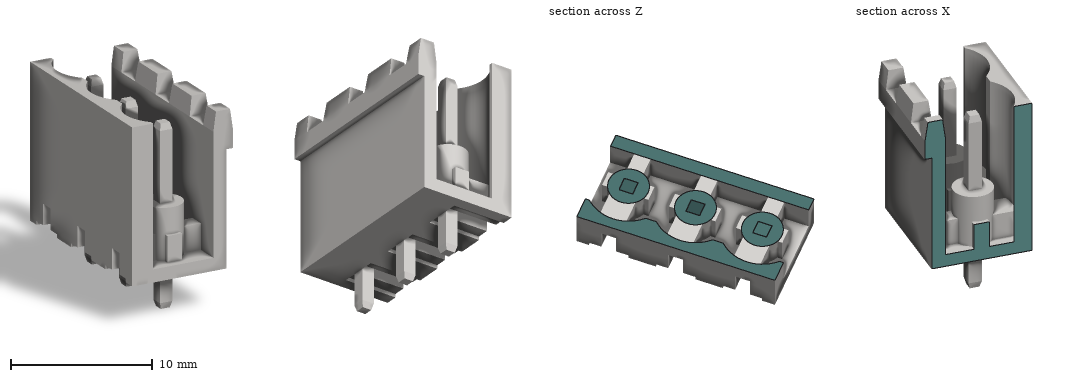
import cadquery as cq

pole_count = 3
pole_pitch = 5.08
pole_y = 3.8

housing_length = 15.08
housing_height = 12.0
floor_thickness = 1.0
front_wall_thickness = 1.69
back_wall_inner_y = 6.53
back_wall_outer_y = 7.59

lip_outer_y = 8.1
lip_bottom_z = 9.0
lip_taper_height = 1.5
lip_taper_outer = 0.23
lip_taper_inner = 0.21

notch_pitch = 5.04
notch_floor_width = 1.99
notch_top_width = 2.2

scallop_radius = 3.0

boss_diameter = 3.0
boss_top_z = 5.0
rib_top_z = 3.0
front_rib_width = 1.99
back_rib_width = 1.24
side_rib_width = 1.18
side_rib_span = 3.51

pin_width = 1.0
pin_tip_width = 0.72
pin_tip_height = 0.5
pin_bottom_z = -3.0
pin_top_z = 11.0

pin_slot_width = 1.12
pin_slot_height = 1.92
relief_width = 3.0
relief_height = 0.29
opening_end_y = pole_y + pin_width / 2


def row_positions(pitch):
    """X positions of one row of features, centred on the housing."""
    return [(i - (pole_count - 1) / 2) * pitch for i in range(pole_count)]


def box_between(x_centre, width, y_start, y_end, z_start, z_end):
    """Box centred on x_centre that spans the given Y and Z ranges."""
    return (
        cq.Workplane("XY")
        .box(width, y_end - y_start, z_end - z_start, centered=(True, False, False))
        .translate((x_centre, y_start, z_start))
    )


def make_trough():
    """U-shaped channel with the latch lip on the back wall."""
    profile = [
        (0, 0),
        (back_wall_outer_y, 0),
        (back_wall_outer_y, lip_bottom_z),
        (lip_outer_y, lip_bottom_z),
        (lip_outer_y, housing_height - lip_taper_height),
        (lip_outer_y - lip_taper_outer, housing_height),
        (back_wall_inner_y + lip_taper_inner, housing_height),
        (back_wall_inner_y, housing_height - lip_taper_height),
        (back_wall_inner_y, floor_thickness),
        (front_wall_thickness, floor_thickness),
        (front_wall_thickness, housing_height),
        (0, housing_height),
    ]
    return cq.Workplane("YZ").polyline(profile).close().extrude(housing_length / 2, both=True)


def make_scallop(x):
    """Cylinder that hollows the front wall down to the floor."""
    wall_block = box_between(
        x, 2 * scallop_radius, 0, front_wall_thickness, floor_thickness, housing_height
    )
    return (
        cq.Workplane("XY", origin=(x, pole_y, floor_thickness))
        .circle(scallop_radius)
        .extrude(housing_height - floor_thickness)
        .intersect(wall_block)
    )


def make_notch(x):
    """Trapezoidal prism that cuts through the tapered top of the back wall."""
    notch_floor_z = housing_height - lip_taper_height
    profile = [
        (x - notch_floor_width / 2, notch_floor_z),
        (x + notch_floor_width / 2, notch_floor_z),
        (x + notch_top_width / 2, housing_height),
        (x - notch_top_width / 2, housing_height),
    ]
    return (
        cq.Workplane("XZ", origin=(0, lip_outer_y, 0))
        .polyline(profile)
        .close()
        .extrude(lip_outer_y - back_wall_inner_y)
    )


def make_boss(x):
    """Round boss with a front rib, a back rib and a pair of side ribs."""
    front_rib_start_y = pole_y - scallop_radius
    boss = cq.Workplane("XY", origin=(x, pole_y, 0)).circle(boss_diameter / 2).extrude(boss_top_z)
    front_rib = box_between(x, front_rib_width, front_rib_start_y, pole_y, 0, rib_top_z)
    back_rib = box_between(x, back_rib_width, pole_y, back_wall_inner_y, 0, rib_top_z)
    side_ribs = box_between(
        x, side_rib_span, pole_y - side_rib_width / 2, pole_y + side_rib_width / 2, 0, rib_top_z
    )
    return boss.union(front_rib).union(back_rib).union(side_ribs)


def make_underside_opening(x):
    """Pin slot and shallow wide relief, open to the front and the bottom."""
    slot = box_between(x, pin_slot_width, 0, opening_end_y, 0, pin_slot_height)
    relief = box_between(x, relief_width, 0, opening_end_y, 0, relief_height)
    return slot.union(relief)


def make_pin_hole(x):
    """Square hole through the floor and the boss that fits the pin."""
    return box_between(x, pin_width, pole_y - pin_width / 2, pole_y + pin_width / 2, 0, boss_top_z)


def make_housing():
    housing = make_trough()
    for x in row_positions(pole_pitch):
        housing = housing.cut(make_scallop(x))
    for x in row_positions(pole_pitch):
        housing = housing.union(make_boss(x))
        housing = housing.cut(make_underside_opening(x)).cut(make_pin_hole(x))
    for x in row_positions(notch_pitch):
        housing = housing.cut(make_notch(x))
    return housing


def make_pin_tip(shank_end_z, direction):
    """Tapered tip: direction is 1 for the top end and -1 for the bottom end."""
    return (
        cq.Workplane("XY", origin=(0, 0, shank_end_z))
        .rect(pin_width, pin_width)
        .workplane(offset=direction * pin_tip_height)
        .rect(pin_tip_width, pin_tip_width)
        .loft()
    )


def make_pin(x):
    """Straight square pin with a tapered tip at each end."""
    shank_bottom_z = pin_bottom_z + pin_tip_height
    shank_top_z = pin_top_z - pin_tip_height
    shank = (
        cq.Workplane("XY", origin=(0, 0, shank_bottom_z))
        .rect(pin_width, pin_width)
        .extrude(shank_top_z - shank_bottom_z)
    )
    pin = shank.union(make_pin_tip(shank_top_z, 1)).union(make_pin_tip(shank_bottom_z, -1))
    return pin.translate((x, pole_y, 0))


housing = make_housing()
pins = [make_pin(x) for x in row_positions(pole_pitch)]

result = cq.Compound.makeCompound([housing.val(), *[pin.val() for pin in pins]])